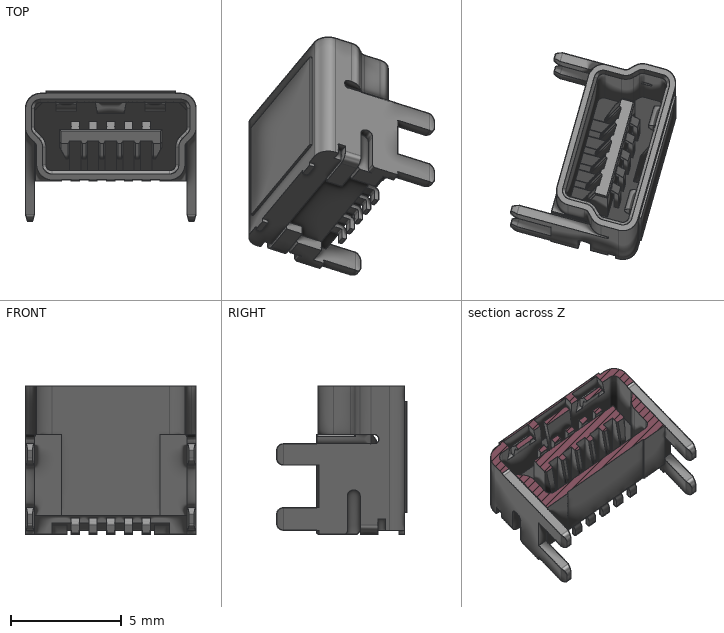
import cadquery as cq
import math


height = 6.7
half_width = 3.85
narrow_half_width = 3.34
depth = 3.91
wall = 0.415
big_radius = 0.69
small_radius = big_radius - wall
shoulder_y = 2.39
mouth_chamfer = 0.15
front_wall_bottom = 0.86
rear_wall_bottom = 0.17
inner_half_width = half_width - wall
inner_back = depth - wall

plate_half_width = 2.91
plate_thickness = 0.1
plate_bottom = 0.99
plate_top = 6.0

side_top = 4.09
ledge_top = 4.505
relief_end_y = 2.74
side_front = 0.05
leg_spans = ((0.185, 1.21), (3.13, side_top))
leg_end = -1.86
leg_tip = 0.315
leg_tip_taper = 0.09
side_slot_front = 1.325
side_slot_back = 1.91
side_slot_top = 2.0
tab_back = 2.7
notch_back = 3.06
notch_top = 0.7
tab_thickness = 0.42
tab_end_x = 1.96
tab_bend = 0.415
corner_radius = 0.15

corner_inner_x = 2.21
corner_back = side_slot_back
corner_proud = 0.055
corner_chamfer_height = 0.1
corner_chamfer_width = 0.05

floor_z = 1.155
housing_front = 0.585
housing_bottom = 0.51
foot_inner_x = 2.65
gusset = 0.36
gusset_rise = 0.08
rear_tab_inner_x = 1.97
rear_tab_depth = 0.26

tongue_half_width = 2.31
tongue_tip_half_width = 2.02
tongue_back = 2.27
tongue_shoulder_y = 1.48
tongue_front = 0.95
tongue_ridge_y = 1.65
tongue_top = 5.47
tongue_chamfer = 0.06

contact_pitch = 0.8
contact_count = 5
contact_width = 0.38
contact_thickness = 0.22
contact_top = 0.74
contact_bend = 0.315
contact_tip_chamfer = 0.06
contact_groove_width = 0.51
contact_groove_back = 1.75
floor_groove_depth = 0.115
contact_post_back = 2.64
contact_post_shoulder_z = 4.235
contact_post_root_z = 4.775
groove_chamfer = 0.07

window_top = 5.73
spring_x = 2.0
spring_width = 0.93
spring_window_half_width = 0.5
spring_window_foot_half_width = 0.825
spring_window_bottom = 3.16
spring_tip_z = 5.12
spring_tip_y = 3.42
spring_crest_y = 3.1
spring_crest_z = 4.465
spring_thickness = 0.26
spring_tip_rise = 0.07
latch_window_half_width = 0.985
latch_window_foot_half_width = 0.81
latch_window_bottom = 1.925
latch_half_width = 0.71
latch_tip_half_width = 0.61
latch_root_y = 3.59
latch_tip_y = 3.0
latch_tip_z = 2.08
latch_thickness = 0.26


def box(x0, x1, y0, y1, z0, z1):
    return cq.Workplane("XY").box(x1 - x0, y1 - y0, z1 - z0, centered=False).translate((x0, y0, z0))


def both_sides(solid):
    return solid.union(solid.mirror("YZ"))


def contact_positions():
    middle = (contact_count - 1) / 2
    return [(i - middle) * contact_pitch for i in range(contact_count)]


def side_extrusion(sketch_points, width, x):
    """Extrude a closed Y-Z outline, centred on x."""
    outline = cq.Workplane("YZ").polyline(sketch_points).close()
    return outline.extrude(width / 2, both=True).translate((x, 0, 0))


def mouth_outline(inset):
    """Closed outline of the mouth, offset inwards: wide at the rear, stepped in at the front."""
    half = half_width - inset
    narrow = narrow_half_width - inset
    front = inset
    back = depth - inset
    outer_r = big_radius - inset
    inner_r = small_radius + inset
    s = math.sqrt(0.5)
    flank_top = (half - outer_r * (1 - s), shoulder_y - outer_r * s)
    flank_bottom_x = narrow + inner_r * (1 - s)
    flank_bottom = (flank_bottom_x, flank_top[1] - (flank_top[0] - flank_bottom_x))
    neck_y = flank_bottom[1] - inner_r * s

    def arc_point(centre_x, centre_y, radius, degrees):
        angle = math.radians(degrees)
        return (centre_x + radius * math.cos(angle), centre_y + radius * math.sin(angle))

    def flip(point):
        return (-point[0], point[1])

    front_mid = arc_point(narrow - outer_r, front + outer_r, outer_r, -45)
    neck_mid = arc_point(narrow + inner_r, neck_y, inner_r, 157.5)
    shoulder_mid = arc_point(half - outer_r, shoulder_y, outer_r, -22.5)
    back_mid = arc_point(half - outer_r, back - outer_r, outer_r, 45)
    return (
        cq.Workplane("XY")
        .moveTo(-(narrow - outer_r), front)
        .lineTo(narrow - outer_r, front)
        .threePointArc(front_mid, (narrow, front + outer_r))
        .lineTo(narrow, neck_y)
        .threePointArc(neck_mid, flank_bottom)
        .lineTo(*flank_top)
        .threePointArc(shoulder_mid, (half, shoulder_y))
        .lineTo(half, back - outer_r)
        .threePointArc(back_mid, (half - outer_r, back))
        .lineTo(-(half - outer_r), back)
        .threePointArc(flip(back_mid), (-half, back - outer_r))
        .lineTo(-half, shoulder_y)
        .threePointArc(flip(shoulder_mid), flip(flank_top))
        .lineTo(*flip(flank_bottom))
        .threePointArc(flip(neck_mid), (-narrow, neck_y))
        .lineTo(-narrow, front + outer_r)
        .threePointArc(flip(front_mid), (-(narrow - outer_r), front))
        .close()
    )


def square_corner():
    block = box(corner_inner_x, inner_half_width, -corner_proud, corner_back, front_wall_bottom, ledge_top)
    return block.edges(">X and >Z").chamfer(corner_chamfer_height, corner_chamfer_width)


def side_relief():
    """Round-ended gap between the shell mouth and the lower side wall."""
    width = ledge_top - side_top
    gap = cq.Workplane("YZ").center(relief_end_y / 2, side_top + width / 2).slot2D(relief_end_y, width)
    return gap.extrude(wall).translate((inner_half_width, 0, 0))


def side_slot():
    """Round-topped slot, open at the bottom."""
    width = side_slot_back - side_slot_front
    centre_y = (side_slot_front + side_slot_back) / 2
    slot = cq.Workplane("YZ").center(centre_y, 0).slot2D(2 * side_slot_top, width, 90)
    return slot.extrude(wall).translate((inner_half_width, 0, 0))


def shell_body():
    upper = mouth_outline(0).extrude(height - front_wall_bottom).translate((0, 0, front_wall_bottom))
    rear = mouth_outline(0).extrude(front_wall_bottom - rear_wall_bottom).translate((0, 0, rear_wall_bottom))
    rear = rear.intersect(box(-half_width, half_width, tab_back, depth, rear_wall_bottom, front_wall_bottom))
    body = upper.union(rear).union(both_sides(square_corner())).cut(both_sides(side_relief()))
    cavity = mouth_outline(wall).extrude(height - floor_z).translate((0, 0, floor_z))
    flare = mouth_outline(wall - mouth_chamfer).extrude(-mouth_chamfer, taper=45).translate((0, 0, height))
    return body.cut(cavity).cut(flare)


def leg(bottom, top):
    """Solder leg with a rounded, thinned tip."""
    bar = box(inner_half_width, half_width, leg_end, side_front, bottom, top)
    bar = bar.edges("<Y and |X").fillet(leg_tip)
    plan = (
        cq.Workplane("XY")
        .moveTo(inner_half_width, side_front)
        .lineTo(inner_half_width, leg_end + leg_tip)
        .lineTo(inner_half_width + leg_tip_taper, leg_end)
        .lineTo(half_width - leg_tip_taper, leg_end)
        .lineTo(half_width, leg_end + leg_tip)
        .lineTo(half_width, side_front)
        .close()
        .extrude(height)
    )
    return bar.intersect(plan)


def side_wall():
    """Flat lower side wall with its legs, slot, rear notch and the tab folded under the housing."""
    front_part = box(inner_half_width, half_width, side_front, side_slot_front, 0, side_top)
    front_part = front_part.edges(">Y and <Z").fillet(corner_radius)
    middle = box(inner_half_width, half_width, side_slot_front, side_slot_back, 0, side_top)
    tab = box(inner_half_width, half_width, side_slot_back, tab_back, 0, side_top)
    fold = box(tab_end_x, half_width, side_slot_back, tab_back, 0, tab_thickness)
    tab = tab.union(fold).edges(">X and <Z").fillet(tab_bend)
    wall_part = front_part.union(middle).union(tab)
    for bottom, top in leg_spans:
        wall_part = wall_part.union(leg(bottom, top))
    return wall_part


def side_notch():
    return box(inner_half_width, half_width, tab_back, notch_back, 0, notch_top)


def rear_tab():
    return box(rear_tab_inner_x, foot_inner_x, depth - rear_tab_depth, depth, 0, rear_wall_bottom)


def cover_plate():
    return box(-plate_half_width, plate_half_width, depth, depth + plate_thickness, plate_bottom, plate_top)


def housing():
    half = inner_half_width
    base = box(-half, half, housing_front, inner_back, housing_bottom, front_wall_bottom)
    rear = box(-half, half, tab_back, inner_back, rear_wall_bottom, front_wall_bottom)
    foot = box(foot_inner_x, half, housing_front, side_slot_back, 0, front_wall_bottom)
    foot = foot.edges(">Y and <Z").chamfer(corner_radius)
    corner = (
        cq.Workplane("XY")
        .workplane(offset=floor_z)
        .polyline([
            (half, inner_back),
            (half, inner_back - gusset),
            (half - gusset, inner_back),
        ])
        .close()
        .extrude(gusset_rise)
    )
    return base.union(rear).union(both_sides(foot)).union(both_sides(corner))


def contact_groove(x):
    half = contact_groove_width / 2
    return box(x - half, x + half, wall, contact_groove_back, floor_z - floor_groove_depth, tongue_top)


def tongue():
    """Contact carrier: straight back, tapered plan and a front face that leans back."""
    plan = (
        cq.Workplane("XY")
        .workplane(offset=floor_z)
        .polyline([
            (-tongue_half_width, tongue_back),
            (-tongue_half_width, tongue_shoulder_y),
            (-tongue_tip_half_width, tongue_front),
            (tongue_tip_half_width, tongue_front),
            (tongue_half_width, tongue_shoulder_y),
            (tongue_half_width, tongue_back),
        ])
        .close()
        .extrude(tongue_top - floor_z)
    )
    profile = [
        (tongue_back, floor_z),
        (tongue_front, floor_z),
        (tongue_ridge_y, tongue_top),
        (tongue_back, tongue_top),
    ]
    body = plan.intersect(side_extrusion(profile, 2 * tongue_half_width, 0))
    body = body.faces(">Z").edges("not <Y").chamfer(tongue_chamfer)
    for x in contact_positions():
        body = body.cut(contact_groove(x))
    slope = cq.Vector(0, tongue_ridge_y - tongue_front, tongue_top - floor_z)
    return body.edges(cq.selectors.ParallelDirSelector(slope)).chamfer(groove_chamfer)


def contact_tail(x):
    """Tail that leaves the housing forwards and bends down to the underside."""
    half = contact_width / 2
    inner_bend = contact_bend - contact_thickness
    block = box(x - half, x + half, -corner_proud, housing_front, 0, contact_top)
    block = block.edges("<Y and >Z").fillet(contact_bend)
    block = block.edges("<Y and <Z").chamfer(contact_tip_chamfer)
    gap_front = contact_thickness - corner_proud
    gap_top = contact_top - contact_thickness
    gap = box(x - half, x + half, gap_front, housing_front, 0, gap_top)
    return block.cut(gap.edges("<Y and >Z").fillet(inner_bend))


def contact_post(x):
    """Part of the contact that rises behind the tongue and leans forward into it."""
    post_front = contact_post_back - contact_thickness
    profile = [
        (post_front, floor_z),
        (contact_post_back, floor_z),
        (contact_post_back, contact_post_shoulder_z),
        (tongue_back, contact_post_root_z),
        (tongue_back, contact_post_shoulder_z),
        (post_front, contact_post_shoulder_z - contact_thickness),
    ]
    return side_extrusion(profile, contact_width, x)


def wall_window(x, top_half_width, bottom_half_width, bottom):
    """Tapered window through the rear wall."""
    return (
        cq.Workplane("XZ", origin=(x, depth, 0))
        .polyline([
            (-top_half_width, window_top),
            (top_half_width, window_top),
            (bottom_half_width, bottom),
            (-bottom_half_width, bottom),
        ])
        .close()
        .extrude(wall)
    )


def spring():
    """Curved spring strip that bulges into the mouth and carries on down to the foot of its window."""
    rise = spring_tip_z - spring_crest_z
    back_y = spring_tip_y + spring_thickness
    back_crest_y = spring_crest_y + spring_thickness
    back_rise = rise + spring_tip_rise
    return (
        cq.Workplane("YZ")
        .moveTo(spring_tip_y, spring_tip_z)
        .threePointArc((spring_crest_y, spring_crest_z), (spring_tip_y, spring_crest_z - rise))
        .lineTo(inner_back, spring_window_bottom)
        .lineTo(back_y, spring_window_bottom)
        .lineTo(back_y, spring_crest_z - back_rise)
        .threePointArc((back_crest_y, spring_crest_z), (back_y, spring_crest_z + back_rise))
        .close()
        .extrude(spring_width / 2, both=True)
        .translate((spring_x, 0, 0))
    )


def latch():
    """Tapered tongue hanging from the top of its window and leaning into the mouth."""
    profile = [
        (latch_root_y, window_top),
        (latch_tip_y, latch_tip_z),
        (latch_tip_y + latch_thickness, latch_tip_z),
        (latch_root_y + latch_thickness, window_top),
    ]
    outline = (
        cq.Workplane("XZ", origin=(0, depth, 0))
        .polyline([
            (-latch_half_width, window_top),
            (latch_half_width, window_top),
            (latch_tip_half_width, latch_tip_z),
            (-latch_tip_half_width, latch_tip_z),
        ])
        .close()
        .extrude(depth)
    )
    return outline.intersect(side_extrusion(profile, 2 * latch_half_width, 0))


latch_window = wall_window(0, latch_window_half_width, latch_window_foot_half_width, latch_window_bottom)
spring_window = wall_window(
    spring_x, spring_window_half_width, spring_window_foot_half_width, spring_window_bottom
)
result = shell_body().cut(latch_window).cut(both_sides(spring_window))
result = result.union(both_sides(side_wall())).cut(both_sides(side_notch())).cut(both_sides(side_slot()))
result = result.union(housing()).union(tongue()).union(cover_plate())
result = result.union(both_sides(rear_tab())).union(both_sides(spring())).union(latch())
for x in contact_positions():
    result = result.cut(contact_groove(x)).union(contact_tail(x)).union(contact_post(x))